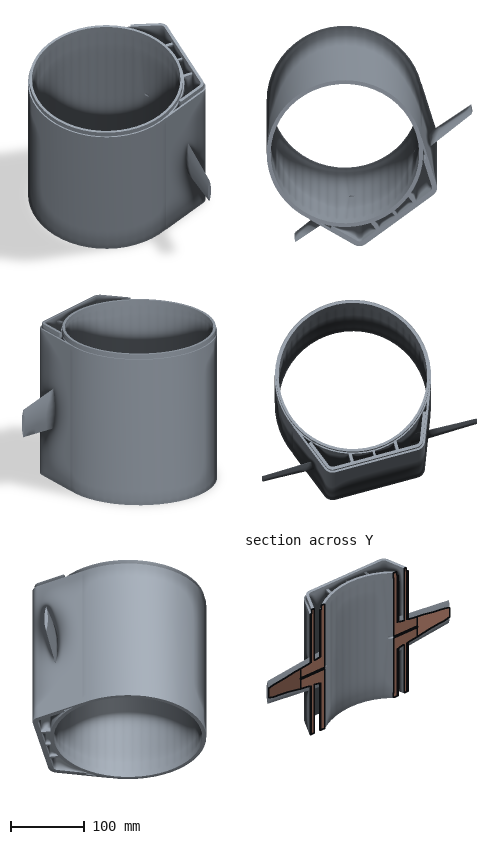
import cadquery as cq
import math

length = 300.7
sleeve_height = 211.0
lip_height = 7.0
core_height = sleeve_height + lip_height

sleeve_radius = 105.8
core_radius = 104.0
bore_radius = 100.5

back_y = 120.3
back_half_width = 67.0
foot_half_width = 96.2
foot_y = 45.0
corner_radius = 13.5
bracket_skin = 2.7
bracket_wall = 7.0
core_leg_end_y = 74.5

rib_spacing = 31.5
side_rib_width = 4.2
middle_rib_width = 3.0

handle_y = 84.8
handle_z = sleeve_height / 2
tip_x = length / 2
joint_x = 97.0
root_x = 42.0
tip_height = 39.7
tip_thickness = 5.0
height_taper = 0.257
thickness_taper = 0.045
screw_hole_radius = 2.0

leg_run = back_half_width - foot_half_width
leg_drop = foot_y - back_y
leg_length = math.hypot(leg_run, leg_drop)
leg_direction = (leg_run / leg_length, leg_drop / leg_length)


def disc(radius, height):
    return cq.Workplane("XY").circle(radius).extrude(height)


def bracket_block(inset, height):
    """Solid trapezoid bounded by the bracket's outer faces moved in by inset."""
    half_turn = math.atan2(-leg_drop, -leg_run) / 2
    corner_x = back_half_width - inset * math.tan(half_turn)
    foot_x = foot_half_width - inset / -leg_direction[1]
    outline = [(-foot_x, foot_y), (-corner_x, back_y - inset), (corner_x, back_y - inset), (foot_x, foot_y)]
    block = cq.Workplane("XY").polyline(outline).close().extrude(height)
    return block.edges("|Z and >Y").fillet(corner_radius - inset)


def core_leg_limit():
    """Region behind the square-cut ends of the core layer's legs."""
    end_x = back_half_width + (back_y - core_leg_end_y) * leg_run / leg_drop
    inner_x = end_x + bracket_wall * leg_direction[1]
    inner_y = core_leg_end_y + bracket_wall * leg_direction[0]
    left_end = (-end_x, core_leg_end_y)
    left_inner = (-inner_x, inner_y)
    right_inner = (inner_x, inner_y)
    right_end = (end_x, core_leg_end_y)
    outline = [(-end_x, back_y), left_end, left_inner, right_inner, right_end, (end_x, back_y)]
    return cq.Workplane("XY").polyline(outline).close().extrude(core_height)


def lens_section(workplane, x):
    """Upright lens of two arcs; the workplane's axes are Y and Z."""
    half_height = (tip_height + height_taper * (tip_x - x)) / 2
    half_thickness = (tip_thickness + thickness_taper * (tip_x - x)) / 2
    return (
        workplane.moveTo(0, -half_height)
        .threePointArc((half_thickness, 0), (0, half_height))
        .threePointArc((-half_thickness, 0), (0, -half_height))
        .close()
    )


def handle_piece(start_x, end_x, side):
    """Tapered stretch of a handle; side is 1 for +X and -1 for -X."""
    plane = cq.Workplane("YZ", origin=(start_x, handle_y, handle_z))
    start = lens_section(plane, start_x)
    piece = lens_section(start.workplane(offset=end_x - start_x), end_x).loft(ruled=True)
    return piece if side > 0 else piece.mirror("YZ")


def make_root(side):
    """Root of a handle, ending inside the thickness of the core wall."""
    mid_wall_radius = (core_radius + bore_radius) / 2
    return handle_piece(root_x, joint_x, side).cut(disc(mid_wall_radius, core_height))


def make_grip(side):
    return handle_piece(joint_x, tip_x, side)


def make_rib(x, width):
    rib = cq.Workplane("XY").center(x, back_y / 2).rect(width, back_y).extrude(sleeve_height)
    return rib.intersect(bracket_block(bracket_wall, sleeve_height))


def make_sleeve(roots):
    leg_layer = bracket_block(0, sleeve_height).cut(bracket_block(bracket_skin, sleeve_height))
    sleeve = disc(sleeve_radius, sleeve_height).union(leg_layer)
    for x, width in ((-rib_spacing, side_rib_width), (0, middle_rib_width), (rib_spacing, side_rib_width)):
        sleeve = sleeve.union(make_rib(x, width))
    sleeve = sleeve.cut(disc(core_radius, sleeve_height))
    for root in roots:
        sleeve = sleeve.cut(root)
    return sleeve


def make_core(roots):
    bracket = bracket_block(bracket_skin, core_height).cut(bracket_block(bracket_wall, core_height))
    core = disc(core_radius, core_height).cut(disc(bore_radius, core_height))
    core = core.union(bracket.intersect(core_leg_limit()))
    for root in roots:
        core = core.union(root)
    screw_holes = (
        cq.Workplane("YZ", origin=(0, handle_y, handle_z))
        .circle(screw_hole_radius)
        .extrude(joint_x, both=True)
    )
    return core.cut(screw_holes)


sides = (-1, 1)
roots = [make_root(side) for side in sides]
sleeve = make_sleeve(roots)
core = make_core(roots)
grips = [make_grip(side) for side in sides]

result = cq.Compound.makeCompound([sleeve.val(), core.val(), *[grip.val() for grip in grips]])